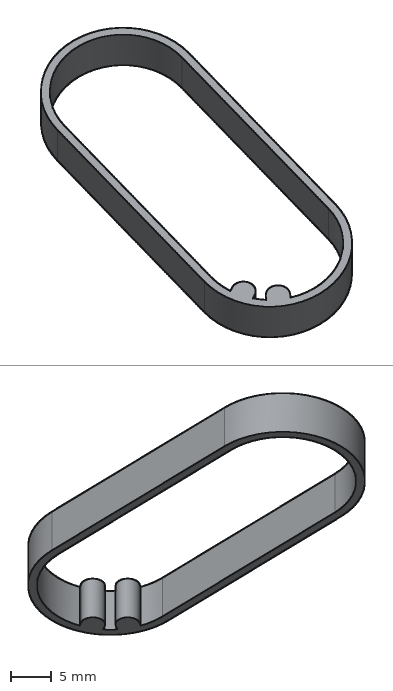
import cadquery as cq

length = 50.25
width = 20.25
height = 6.0
wall = 1.1

peg_diameter = 3.0
peg_center_radius = 8.3
peg_angles = (-30, -60)

end_radius = width / 2
end_center_x = length / 2 - end_radius


def stadium(inset):
    """Round-ended block, inset evenly from the outer outline."""
    return (
        cq.Workplane("XY")
        .slot2D(length - 2 * inset, width - 2 * inset)
        .extrude(height)
    )


def peg(angle):
    """Round-nosed rib whose straight sides run outward to the middle of the wall."""
    neck_length = end_radius - wall / 2 - peg_center_radius
    nose = (
        cq.Workplane("XY")
        .center(peg_center_radius, 0)
        .circle(peg_diameter / 2)
        .extrude(height)
    )
    neck = (
        cq.Workplane("XY")
        .center(peg_center_radius + neck_length / 2, 0)
        .rect(neck_length, peg_diameter)
        .extrude(height)
    )
    return (
        nose.union(neck)
        .rotate((0, 0, 0), (0, 0, 1), angle)
        .translate((end_center_x, 0, 0))
    )


result = stadium(0).cut(stadium(wall))
for peg_angle in peg_angles:
    result = result.union(peg(peg_angle))